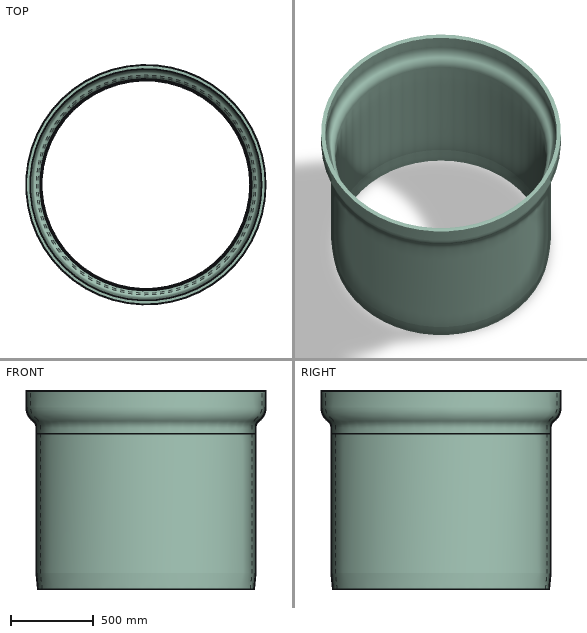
import cadquery as cq
import math

TOTAL_HEIGHT = 1200.0
SOCKET_OUTER_RADIUS = 1450 / 2
PIPE_OUTER_RADIUS = 1330.0 / 2
WALL = 25.0

RIM_HEIGHT = 100.0
SOCKET_HEIGHT = 260.0
SHOULDER_RADIUS = 100.0
NECK_RADIUS = 50.0

SPIGOT_HEIGHT = 100.0
SPIGOT_TAPER = 10.0

JOINT_Z = TOTAL_HEIGHT - SOCKET_HEIGHT
RIM_BOTTOM_Z = TOTAL_HEIGHT - RIM_HEIGHT
SOCKET_INNER_RADIUS = SOCKET_OUTER_RADIUS - WALL
PIPE_INNER_RADIUS = PIPE_OUTER_RADIUS - WALL

RADIUS_STEP = SOCKET_OUTER_RADIUS - PIPE_OUTER_RADIUS
BEND_RADII = SHOULDER_RADIUS + NECK_RADIUS
BEND_ANGLE = math.acos(1 - RADIUS_STEP / BEND_RADII)
NECK_BOTTOM_Z = RIM_BOTTOM_Z - BEND_RADII * math.sin(BEND_ANGLE)
SHOULDER_CENTER_R = SOCKET_OUTER_RADIUS - SHOULDER_RADIUS
NECK_CENTER_R = PIPE_OUTER_RADIUS + NECK_RADIUS


def shoulder_point(bend_radius, angle):
    """Point on the shoulder bend, with the angle measured down from the rim."""
    return (
        SHOULDER_CENTER_R + bend_radius * math.cos(angle),
        RIM_BOTTOM_Z - bend_radius * math.sin(angle),
    )


def neck_point(bend_radius, angle):
    """Point on the neck bend, with the angle measured up from the collar."""
    return (
        NECK_CENTER_R - bend_radius * math.cos(angle),
        NECK_BOTTOM_Z + bend_radius * math.sin(angle),
    )


def revolve_about_axis(profile):
    """Revolve a closed radius-height profile one full turn about Z."""
    return profile.revolve(360, (0, 0, 0), (0, 1, 0))


def make_socket():
    inner_shoulder = SHOULDER_RADIUS - WALL
    inner_neck = NECK_RADIUS + WALL
    half_angle = BEND_ANGLE / 2
    profile = (
        cq.Workplane("XZ")
        .moveTo(SOCKET_INNER_RADIUS, TOTAL_HEIGHT)
        .lineTo(SOCKET_OUTER_RADIUS, TOTAL_HEIGHT)
        .lineTo(SOCKET_OUTER_RADIUS, RIM_BOTTOM_Z)
        .threePointArc(
            shoulder_point(SHOULDER_RADIUS, half_angle),
            shoulder_point(SHOULDER_RADIUS, BEND_ANGLE),
        )
        .threePointArc(neck_point(NECK_RADIUS, half_angle), neck_point(NECK_RADIUS, 0))
        .lineTo(PIPE_OUTER_RADIUS, JOINT_Z)
        .lineTo(PIPE_INNER_RADIUS, JOINT_Z)
        .lineTo(PIPE_INNER_RADIUS, NECK_BOTTOM_Z)
        .threePointArc(neck_point(inner_neck, half_angle), neck_point(inner_neck, BEND_ANGLE))
        .threePointArc(
            shoulder_point(inner_shoulder, half_angle),
            shoulder_point(inner_shoulder, 0),
        )
        .close()
    )
    return revolve_about_axis(profile)


def make_pipe():
    profile = (
        cq.Workplane("XZ")
        .moveTo(PIPE_INNER_RADIUS, JOINT_Z)
        .lineTo(PIPE_OUTER_RADIUS, JOINT_Z)
        .lineTo(PIPE_OUTER_RADIUS, SPIGOT_HEIGHT)
        .lineTo(PIPE_OUTER_RADIUS - SPIGOT_TAPER, 0)
        .lineTo(PIPE_INNER_RADIUS - SPIGOT_TAPER, 0)
        .lineTo(PIPE_INNER_RADIUS, SPIGOT_HEIGHT)
        .close()
    )
    return revolve_about_axis(profile)


socket = make_socket()
pipe = make_pipe()

result = cq.Compound.makeCompound([socket.val(), pipe.val()])